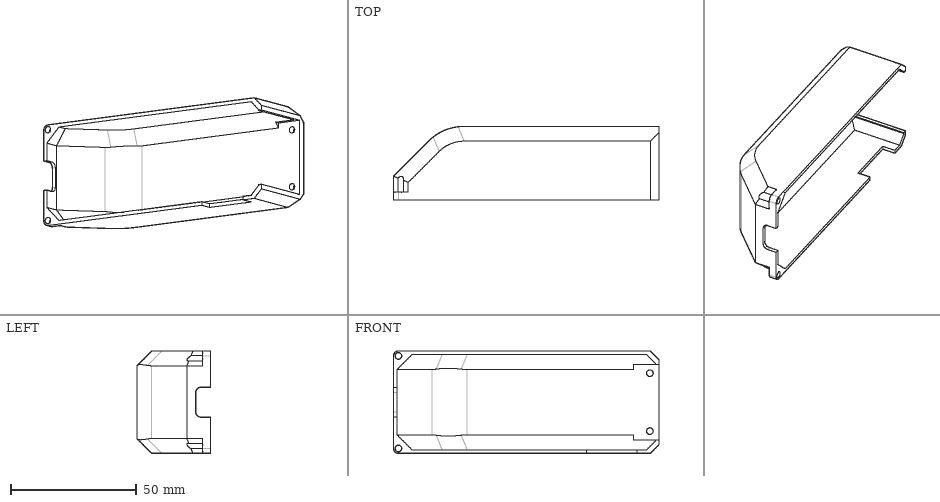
import cadquery as cq
import math

length = 106.1
depth = 29.5
height = 41.0
wall = 1.5
back_wall = 3.0
nose_height = 9.5
edge_chamfer = 5.9
end_chamfer = 3.5
bend_radius = 20.0
bend_angle = 45

hole_diameter = 2.5
foot_thickness = 3.2
foot_radius = 2.0

slot_width = 11.9
slot_depth = 5.9
slot_radius = 2.0

seat_length = 10.2
seat_margin = 5.4
seat_hole_from_end = 3.7
seat_hole_from_side = 8.9

notch_start = 77.0
notch_length = 20.2
notch_depth = 5.5


def box(x_min, y_min, z_min, x_size, y_size, z_size):
    return cq.Workplane("XY").box(x_size, y_size, z_size, centered=False).translate((x_min, y_min, z_min))


def y_cylinder(x, z, radius, y_start, y_end):
    solid = cq.Solid.makeCylinder(radius, y_end - y_start, cq.Vector(x, y_start, z), cq.Vector(0, 1, 0))
    return cq.Workplane(obj=solid)


def bend_wedge(corner):
    """Space under the upper chamfers of back and slope, rounded where they meet at the corner point."""
    reach = 2 * length
    mitre = cq.Vector(math.tan(math.radians(bend_angle / 2)), -1, 1).normalized()
    along_back = cq.Vector(1, 0, 0) - mitre * mitre.x
    turn = math.acos(0.5 + math.sqrt(2) / 4)
    slope_end = (-reach * math.cos(turn), -reach * math.sin(turn))
    wedge = (
        cq.Workplane(cq.Plane(origin=corner, xDir=along_back, normal=mitre))
        .polyline([(0, 0), (reach, 0), (reach, -reach), (slope_end[0], -reach), slope_end])
        .close()
        .extrude(reach, both=True)
    )
    return wedge.edges(cq.selectors.NearestToPointSelector(corner)).fillet(bend_radius)


def hull(side_inset, back_inset):
    """Bent, chamfered solid; the back and slope have their own inset from the outer surface."""
    x_min = side_inset
    x_max = length - side_inset
    y_max = depth - back_inset
    slope_y = nose_height + x_min - back_inset * math.sqrt(2)
    bend_x = x_min + y_max - slope_y
    profile = (
        cq.Workplane("XY", origin=(0, 0, side_inset))
        .polyline([(x_min, 0), (x_max, 0), (x_max, y_max), (bend_x, y_max), (x_min, slope_y)])
        .close()
    )
    prism = profile.extrude(height - 2 * side_inset)
    body = prism.edges("|Y and >X").chamfer(end_chamfer)
    outline_midpoints = [
        (x_min, slope_y / 2),
        ((x_min + bend_x) / 2, (slope_y + y_max) / 2),
        ((bend_x + x_max - end_chamfer) / 2, y_max),
    ]
    outline_edges = []
    for z in (side_inset, height - side_inset):
        for x, y in outline_midpoints:
            nearest = cq.selectors.NearestToPointSelector((x, y, z))
            outline_edges += nearest.filter(body.edges().vals())
    body = body.newObject(outline_edges).chamfer(edge_chamfer)
    bend = cq.selectors.NearestToPointSelector((bend_x, y_max, height / 2))
    body = body.intersect(prism.edges(bend).fillet(bend_radius))
    wedge = bend_wedge((bend_x, y_max, height - side_inset - edge_chamfer))
    lower_wedge = wedge.mirror("XY", (0, 0, height / 2))
    return body.intersect(wedge).intersect(lower_wedge)


def feet():
    block = box(0, 0, 0, 2 * edge_chamfer, foot_thickness, height)
    return block.edges("|Y and <X").fillet(foot_radius)


def cable_slot():
    slot = box(-wall, -slot_depth, (height - slot_width) / 2, 2 * wall, 2 * slot_depth, slot_width)
    return slot.edges("|X and >Y").fillet(slot_radius)


shell = hull(0, 0).union(feet()).cut(hull(wall, back_wall))

shell = shell.cut(
    box(length - seat_length, 0, seat_margin, seat_length, depth - back_wall, height - 2 * seat_margin)
)

for z in (foot_radius, height - foot_radius):
    shell = shell.cut(y_cylinder(foot_radius, z, foot_radius, foot_thickness, depth))
    shell = shell.cut(y_cylinder(foot_radius, z, hole_diameter / 2, 0, foot_thickness))

for z in (seat_hole_from_side, height - seat_hole_from_side):
    shell = shell.cut(y_cylinder(length - seat_hole_from_end, z, hole_diameter / 2, 0, depth))

shell = shell.cut(cable_slot())
shell = shell.cut(box(notch_start, 0, 0, notch_length, notch_depth, wall))

result = shell